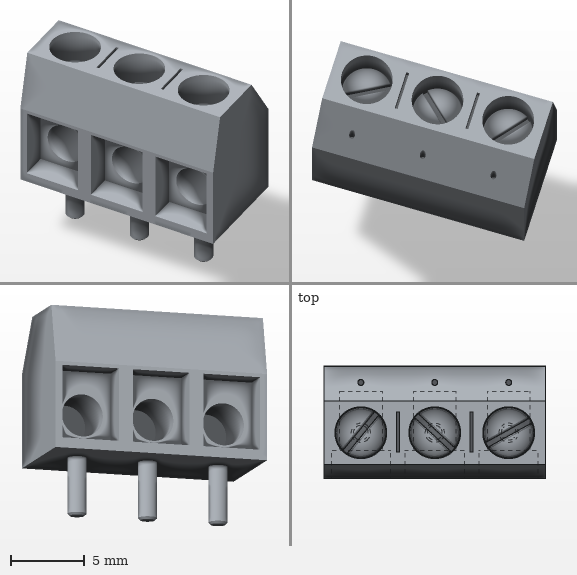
import cadquery as cq


POLE_COUNT = 3
PITCH = 5.0
POLE_X = [(i - (POLE_COUNT - 1) / 2) * PITCH for i in range(POLE_COUNT)]

WIDTH = POLE_COUNT * PITCH
HEIGHT = 10.0
FRONT_Y = -3.1
BACK_Y = 4.5
TOP_FRONT_Y = -2.15
TOP_BACK_Y = 2.15
FRONT_CREASE_Z = 5.95
BACK_CREASE_Z = 6.45

PIN_DIAMETER = 1.3
PIN_LENGTH = 4.0
PIN_CHAMFER = 0.15

POCKET_WIDTH = 4.0
POCKET_BOTTOM_Z = 0.7
POCKET_HEIGHT = 5.0
POCKET_DEPTH = 1.9
WIRE_HOLE_DIAMETER = 2.9
WIRE_HOLE_Z = 2.7
WIRE_HOLE_DEPTH = 4.0

WELL_DIAMETER = 3.5
WELL_DEPTH = 4.0
WELL_FLOOR_Z = HEIGHT - WELL_DEPTH
SCREW_DIAMETER = 3.4
SCREW_HEIGHT = 1.7
SCREW_EDGE_RADIUS = 0.1
DRIVE_SLOT_WIDTH = 0.36
DRIVE_SLOT_DEPTH = 0.5
DRIVE_SLOT_ANGLES = [50.6, -43.1, 29.0]

GROOVE_WIDTH = 0.2
GROOVE_LENGTH = 2.7
GROOVE_DEPTH = 0.5
GROOVE_CENTER_Y = 0.05

TEST_HOLE_DIAMETER = 0.4
TEST_HOLE_Y = 3.4
TEST_HOLE_DEPTH = 1.0


def make_housing():
    """Constant side profile, extruded across the full width."""
    profile = [
        (FRONT_Y, 0),
        (BACK_Y, 0),
        (BACK_Y, BACK_CREASE_Z),
        (TOP_BACK_Y, HEIGHT),
        (TOP_FRONT_Y, HEIGHT),
        (FRONT_Y, FRONT_CREASE_Z),
    ]
    return cq.Workplane("YZ").polyline(profile).close().extrude(WIDTH / 2, both=True)


def make_pin(x):
    """Round pin below the housing with a chamfered tip."""
    pin = cq.Workplane("XY").center(x, 0).circle(PIN_DIAMETER / 2).extrude(-PIN_LENGTH)
    return pin.faces("<Z").chamfer(PIN_CHAMFER)


def make_wire_entry(x):
    """Cutter for one pocket and the blind wire hole behind it."""
    pocket = cq.Workplane("XY").box(
        POCKET_WIDTH, POCKET_DEPTH, POCKET_HEIGHT, centered=(True, False, False)
    ).translate((x, FRONT_Y, POCKET_BOTTOM_Z))
    hole = (
        cq.Workplane("XZ", origin=(x, FRONT_Y + POCKET_DEPTH, WIRE_HOLE_Z))
        .circle(WIRE_HOLE_DIAMETER / 2)
        .extrude(-WIRE_HOLE_DEPTH)
    )
    return pocket.union(hole)


def make_screw_well(x):
    """Cutter for the round well above one screw."""
    well = cq.Workplane("XY", origin=(x, 0, WELL_FLOOR_Z))
    return well.circle(WELL_DIAMETER / 2).extrude(WELL_DEPTH)


def make_screw(x, slot_angle):
    """Slotted screw head with rounded upper edges."""
    head = cq.Workplane("XY").circle(SCREW_DIAMETER / 2).extrude(SCREW_HEIGHT)
    slot = (
        cq.Workplane("XY", origin=(0, 0, SCREW_HEIGHT))
        .rect(WELL_DIAMETER, DRIVE_SLOT_WIDTH)
        .extrude(-DRIVE_SLOT_DEPTH)
    )
    screw = head.cut(slot).faces(">Z").edges().fillet(SCREW_EDGE_RADIUS)
    return screw.rotate((0, 0, 0), (0, 0, 1), slot_angle).translate((x, 0, WELL_FLOOR_Z))


def make_groove(x):
    """Cutter for one narrow groove in the top face."""
    groove = cq.Workplane("XY", origin=(x, GROOVE_CENTER_Y, HEIGHT))
    return groove.rect(GROOVE_WIDTH, GROOVE_LENGTH).extrude(-GROOVE_DEPTH)


def make_test_hole(x):
    """Cutter for one vertical blind hole, its depth taken from the slope at its axis."""
    slope = (HEIGHT - BACK_CREASE_Z) / (BACK_Y - TOP_BACK_Y)
    surface_z = BACK_CREASE_Z + (BACK_Y - TEST_HOLE_Y) * slope
    hole = cq.Workplane("XY", origin=(x, TEST_HOLE_Y, surface_z - TEST_HOLE_DEPTH))
    return hole.circle(TEST_HOLE_DIAMETER / 2).extrude(HEIGHT - surface_z + TEST_HOLE_DEPTH)


result = make_housing()

for pole_x, angle in zip(POLE_X, DRIVE_SLOT_ANGLES):
    result = result.cut(make_wire_entry(pole_x))
    result = result.cut(make_screw_well(pole_x))
    result = result.cut(make_test_hole(pole_x))
    result = result.union(make_screw(pole_x, angle))
    result = result.union(make_pin(pole_x))

for left_pole_x in POLE_X[:-1]:
    result = result.cut(make_groove(left_pole_x + PITCH / 2))